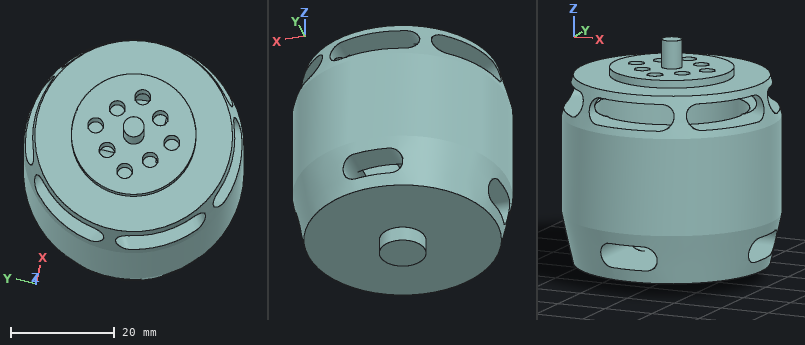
import cadquery as cq

body_bottom = 3.0
lower_cone_top = 12.9
upper_cone_bottom = 32.05
body_top = 40.05
flange_top = 41.55
shaft_top = 47.05

body_diameter = 42.5
body_end_diameter = 38.0
boss_diameter = 9.0
flange_diameter = 24.0
shaft_diameter = 4.0

slot_height = 5.0
upper_slot_length = 18.0
upper_slot_center = 36.0
upper_slot_angles = (0, 60, 120)
lower_slot_length = 12.0
lower_slot_center = 8.05
lower_slot_angles = (0, 90)

cavity_diameter = 30.0
cavity_bottom = lower_slot_center + slot_height / 2
cavity_top = upper_slot_center + slot_height / 2

hole_diameter = 3.0
straight_hole_radius = 7.53
diagonal_hole_radius = 6.0
holes_per_circle = 4


def turned_body():
    """Revolve the boss, the double-tapered body, the flange and the shaft as one profile."""
    boss_radius = boss_diameter / 2
    end_radius = body_end_diameter / 2
    body_radius = body_diameter / 2
    flange_radius = flange_diameter / 2
    shaft_radius = shaft_diameter / 2
    profile = [
        (0, 0),
        (boss_radius, 0),
        (boss_radius, body_bottom),
        (end_radius, body_bottom),
        (body_radius, lower_cone_top),
        (body_radius, upper_cone_bottom),
        (end_radius, body_top),
        (flange_radius, body_top),
        (flange_radius, flange_top),
        (shaft_radius, flange_top),
        (shaft_radius, shaft_top),
        (0, shaft_top),
    ]
    return cq.Workplane("XZ").polyline(profile).close().revolve(360, (0, 0), (0, 1))


def cross_slot(length, center_height, angle):
    """Round-ended slot through the whole body, turned about Z from the Y direction."""
    slot = (
        cq.Workplane("XZ")
        .center(0, center_height)
        .slot2D(length, slot_height)
        .extrude(body_diameter, both=True)
    )
    return slot.rotate((0, 0, 0), (0, 0, 1), angle)


def mounting_holes(circle_radius, start_angle):
    """Ring of vertical holes from the flange down into the cavity."""
    return (
        cq.Workplane("XY", origin=(0, 0, cavity_top))
        .polarArray(circle_radius, start_angle, 360, holes_per_circle)
        .circle(hole_diameter / 2)
        .extrude(flange_top - cavity_top)
    )


def cavity():
    """Cylinder that hollows the body between its floor and its roof."""
    return (
        cq.Workplane("XY", origin=(0, 0, cavity_bottom))
        .circle(cavity_diameter / 2)
        .extrude(cavity_top - cavity_bottom)
    )


result = turned_body().cut(cavity())
for slot_angle in upper_slot_angles:
    result = result.cut(cross_slot(upper_slot_length, upper_slot_center, slot_angle))
for slot_angle in lower_slot_angles:
    result = result.cut(cross_slot(lower_slot_length, lower_slot_center, slot_angle))
result = result.cut(mounting_holes(straight_hole_radius, 0))
result = result.cut(mounting_holes(diagonal_hole_radius, 45))